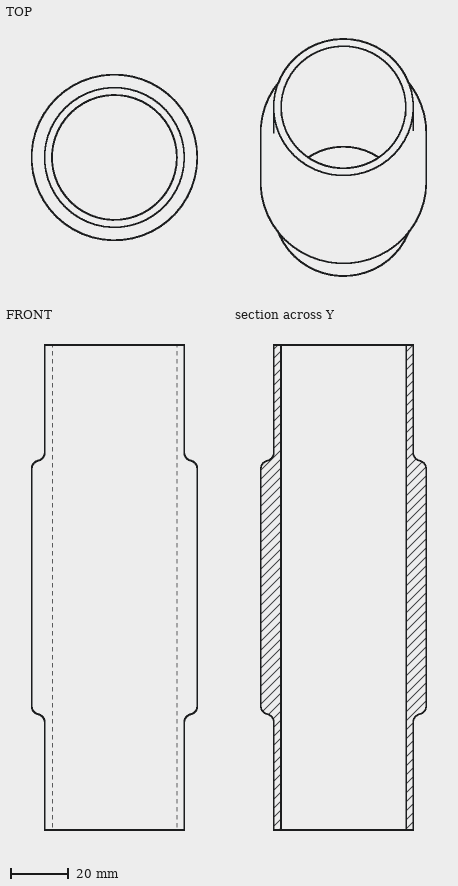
import cadquery as cq
import math

length = 168.0
body_diameter = 57.5
neck_diameter = 48.4
bore_diameter = 43.2

body_length = 82.2
shoulder_height = 5.7

body_radius = body_diameter / 2
neck_radius = neck_diameter / 2
bore_radius = bore_diameter / 2
shoulder_end = body_length / 2
shoulder_start = shoulder_end + shoulder_height

shoulder_step = body_radius - neck_radius
arc_angle = 2 * math.atan(shoulder_step / shoulder_height)
arc_radius = shoulder_height / 2 / math.sin(arc_angle)
half_arc_inset = arc_radius * (1 - math.cos(arc_angle / 2))
half_arc_rise = arc_radius * math.sin(arc_angle / 2)

upper_shoulder = [
    (neck_radius, shoulder_start),
    (neck_radius + half_arc_inset, shoulder_start - half_arc_rise),
    (neck_radius + shoulder_step / 2, shoulder_start - shoulder_height / 2),
    (body_radius - half_arc_inset, shoulder_end + half_arc_rise),
    (body_radius, shoulder_end),
]

lower_shoulder = [(radius, -height) for radius, height in reversed(upper_shoulder)]


def add_shoulder(profile, points):
    """Draw a line to the shoulder, then follow its two arcs."""
    start, first_middle, junction, second_middle, end = points
    profile = profile.lineTo(*start)
    profile = profile.threePointArc(first_middle, junction)
    return profile.threePointArc(second_middle, end)


wall = cq.Workplane("XZ").moveTo(bore_radius, length / 2).lineTo(neck_radius, length / 2)
wall = add_shoulder(wall, upper_shoulder)
wall = add_shoulder(wall, lower_shoulder)
wall = wall.lineTo(neck_radius, -length / 2).lineTo(bore_radius, -length / 2).close()

result = wall.revolve(360, (0, 0, 0), (0, 1, 0))